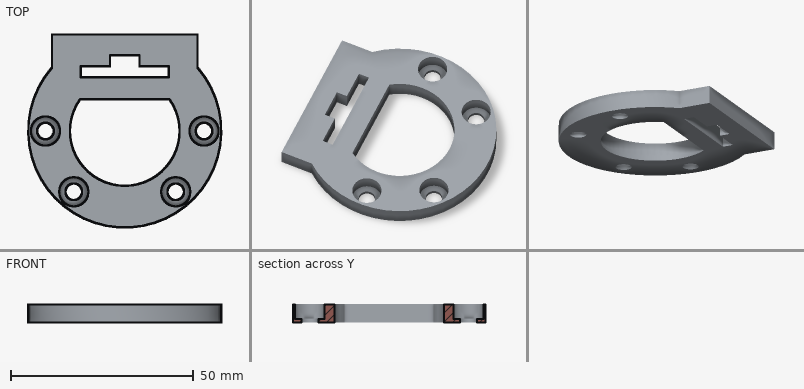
import cadquery as cq
import math

thickness = 5.0
disc_radius = 26.5
tab_width = 40.0

opening_radius = 15.0
opening_flat_y = 8.7

slot_length = 24.0
slot_width = 3.0
slot_bottom_y = 14.75
notch_length = 8.0
notch_depth = 3.0

hole_diameter = 4.5
counterbore_diameter = 8.0
counterbore_depth = 4.0
hole_circle_radius = 21.75
hole_angles = [0, -50, -130, 180]


def make_plate():
    disc = cq.Workplane("XY").circle(disc_radius).extrude(thickness)
    tab = (
        cq.Workplane("XY")
        .rect(tab_width, disc_radius, centered=(True, False))
        .extrude(thickness)
    )
    return disc.union(tab)


def make_opening():
    flat_half_length = math.sqrt(opening_radius**2 - opening_flat_y**2)
    return (
        cq.Workplane("XY")
        .moveTo(-flat_half_length, opening_flat_y)
        .threePointArc((0, -opening_radius), (flat_half_length, opening_flat_y))
        .close()
        .extrude(thickness)
    )


def make_slot():
    bar = (
        cq.Workplane("XY", origin=(0, slot_bottom_y, 0))
        .rect(slot_length, slot_width, centered=(True, False))
        .extrude(thickness)
    )
    notch = (
        cq.Workplane("XY", origin=(0, slot_bottom_y, 0))
        .rect(notch_length, slot_width + notch_depth, centered=(True, False))
        .extrude(thickness)
    )
    return bar.union(notch)


def drill_screw_holes(plate):
    centres = []
    for angle in hole_angles:
        x = hole_circle_radius * math.cos(math.radians(angle))
        y = hole_circle_radius * math.sin(math.radians(angle))
        centres.append((x, y))
    return (
        plate.faces(">Z")
        .workplane(origin=(0, 0, thickness))
        .pushPoints(centres)
        .cboreHole(hole_diameter, counterbore_diameter, counterbore_depth)
    )


plate = make_plate().cut(make_opening()).cut(make_slot())
result = drill_screw_holes(plate)